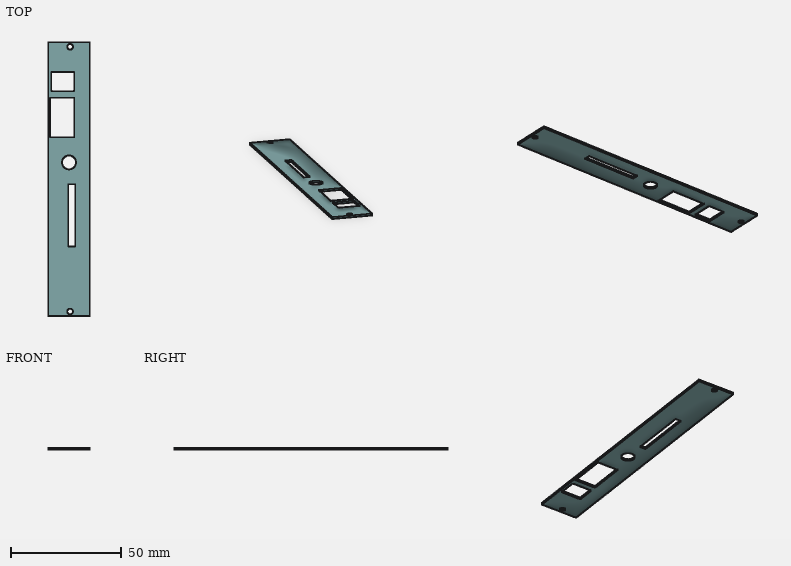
import cadquery as cq

PANEL_WIDTH = 18.9
PANEL_LENGTH = 124.3
PANEL_THICKNESS = 1.0

MOUNT_DIAMETER = 2.5
MOUNT_X = 0.5
MOUNT_END_MARGIN = 2.1

SMALL_WINDOW_SIZE = (10.3, 8.7)
SMALL_WINDOW_CENTER = (-2.9, 44.2)
SMALL_WINDOW_CORNER_RADIUS = 0.4
LARGE_WINDOW_SIZE = (10.8, 17.9)
LARGE_WINDOW_CENTER = (-3.1, 28.0)
SLOT_SIZE = (3.0, 28.1)
SLOT_CENTER = (1.2, -16.4)

ROUND_DIAMETER = 6.2
ROUND_CENTER = (0.0, 7.6)


def rectangular_cutter(size, center):
    """Block that passes through the full panel thickness."""
    return cq.Workplane("XY").center(*center).rect(*size).extrude(PANEL_THICKNESS)


def round_cutter(diameter, center):
    """Cylinder that passes through the full panel thickness."""
    return cq.Workplane("XY").center(*center).circle(diameter / 2).extrude(PANEL_THICKNESS)


result = cq.Workplane("XY").rect(PANEL_WIDTH, PANEL_LENGTH).extrude(PANEL_THICKNESS)

small_window = rectangular_cutter(SMALL_WINDOW_SIZE, SMALL_WINDOW_CENTER)
result = result.cut(small_window.edges("|Z").fillet(SMALL_WINDOW_CORNER_RADIUS))

for size, center in (
    (LARGE_WINDOW_SIZE, LARGE_WINDOW_CENTER),
    (SLOT_SIZE, SLOT_CENTER),
):
    result = result.cut(rectangular_cutter(size, center))

result = result.cut(round_cutter(ROUND_DIAMETER, ROUND_CENTER))

mount_y = PANEL_LENGTH / 2 - MOUNT_END_MARGIN
for y in (mount_y, -mount_y):
    result = result.cut(round_cutter(MOUNT_DIAMETER, (MOUNT_X, y)))